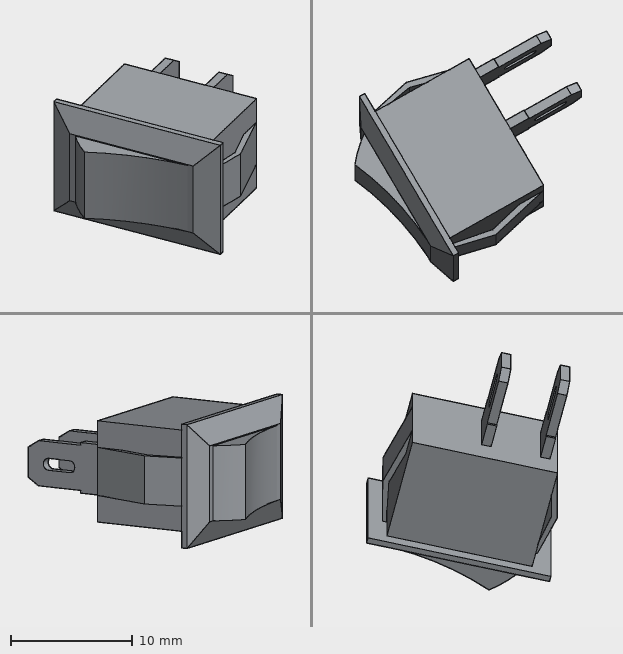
import cadquery as cq


overall_depth = 19.5

body_width = 12.3
body_depth = 9.0
body_height = 8.5

bezel_width = 15.5
bezel_height = 10.4
bezel_center_z = -0.1
rim_depth = 0.5
bezel_depth = 1.5
bezel_inset = 2.0
front_width = bezel_width - 2 * bezel_inset
front_height = bezel_height - 2 * bezel_inset
front_bottom_z = bezel_center_z - front_height / 2

rocker_width = 10.45
rocker_height = 6.3
ridge_x = -3.33
ridge_y = -3.5
press_face_mid = (-0.18, -2.38)
short_face_mid = (-4.39, -2.52)

terminal_thickness = 0.8
terminal_pitch = 5.0
first_terminal_x = -5.1
terminal_count = 2
terminal_end_y = overall_depth + ridge_y
shoulder_y = 11.0
shoulder_width = 4.25
blade_width = 3.8
blade_tip_width = 2.54
blade_taper_length = 1.0
slot_center_y = 13.05
slot_length = 3.0
slot_width = 1.0

clip_height = 4.04
clip_apex_y = 3.75
clip_apex_offset = 1.25
clip_apex_thickness = 0.5
clip_root_y = body_depth - 0.1
clip_inner_root_y = 6.69
clip_tip_y = 0.08
clip_tip_offset = 0.43
clip_tip_thickness = 0.35
clip_tip_bevel_height = 0.1
clip_tip_bevel_width = 0.04
clip_embed = 0.2


def prism_along_z(outline, height, bottom_z):
    return outline.close().extrude(height).translate((0, 0, bottom_z))


def make_body():
    block = cq.Workplane("XY").box(body_width, body_depth, body_height)
    return block.translate((0, body_depth / 2, 0))


def make_bezel():
    rim = (
        cq.Workplane("XZ")
        .center(0, bezel_center_z)
        .rect(bezel_width, bezel_height)
        .extrude(rim_depth)
    )
    slope = (
        cq.Workplane("XZ", origin=(0, -rim_depth, bezel_center_z))
        .rect(bezel_width, bezel_height)
        .workplane(offset=bezel_depth - rim_depth)
        .rect(front_width, front_height)
        .loft(ruled=True)
    )
    return rim.union(slope)


def make_rocker():
    half_width = rocker_width / 2
    outline = (
        cq.Workplane("XY")
        .moveTo(-half_width, -rim_depth)
        .lineTo(-half_width, -bezel_depth)
        .threePointArc(short_face_mid, (ridge_x, ridge_y))
        .threePointArc(press_face_mid, (half_width, -bezel_depth))
        .lineTo(half_width, -rim_depth)
    )
    return prism_along_z(outline, rocker_height, front_bottom_z)


def make_terminal(center_x):
    half_shoulder = shoulder_width / 2
    half_blade = blade_width / 2
    half_tip = blade_tip_width / 2
    taper_y = terminal_end_y - blade_taper_length
    root_y = body_depth / 2
    blade = (
        cq.Workplane("YZ")
        .moveTo(root_y, -half_shoulder)
        .lineTo(shoulder_y, -half_shoulder)
        .lineTo(shoulder_y, -half_blade)
        .lineTo(taper_y, -half_blade)
        .lineTo(terminal_end_y, -half_tip)
        .lineTo(terminal_end_y, half_tip)
        .lineTo(taper_y, half_blade)
        .lineTo(shoulder_y, half_blade)
        .lineTo(shoulder_y, half_shoulder)
        .lineTo(root_y, half_shoulder)
        .close()
        .extrude(terminal_thickness / 2, both=True)
    )
    slot = (
        cq.Workplane("YZ")
        .center(slot_center_y, 0)
        .slot2D(slot_length, slot_width)
        .extrude(terminal_thickness, both=True)
    )
    return blade.cut(slot).translate((center_x, 0, 0))


def make_right_clip():
    side_x = body_width / 2
    outline = (
        cq.Workplane("XY")
        .moveTo(side_x - clip_embed, clip_root_y)
        .lineTo(side_x, clip_root_y)
        .lineTo(side_x + clip_apex_offset, clip_apex_y)
        .lineTo(side_x + clip_tip_offset, clip_tip_y + clip_tip_bevel_height)
        .lineTo(side_x + clip_tip_offset - clip_tip_bevel_width, clip_tip_y)
        .lineTo(side_x + clip_tip_offset - clip_tip_thickness, clip_tip_y)
        .lineTo(side_x + clip_apex_offset - clip_apex_thickness, clip_apex_y)
        .lineTo(side_x, clip_inner_root_y)
        .lineTo(side_x - clip_embed, clip_inner_root_y)
    )
    return prism_along_z(outline, clip_height, -clip_height / 2)


result = make_body().union(make_bezel()).union(make_rocker())

for index in range(terminal_count):
    result = result.union(make_terminal(first_terminal_x + index * terminal_pitch))

right_clip = make_right_clip()
result = result.union(right_clip).union(right_clip.mirror("YZ"))